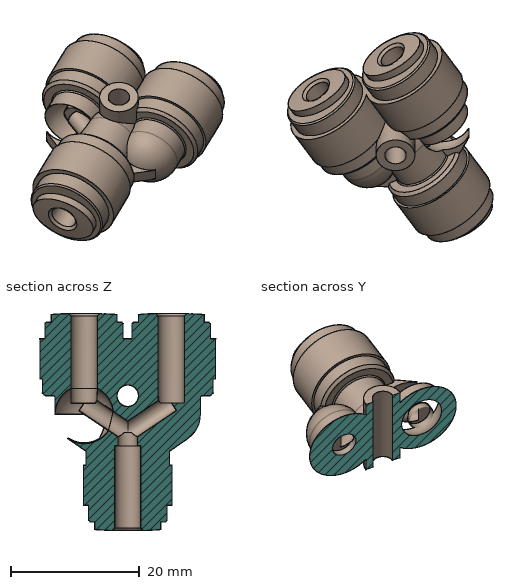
import cadquery as cq
import math

length = 33.7
half_length = length / 2
ring_dia = 13.8
leg_x = (27.3 - ring_dia) / 2
elbow_y = 1.18
tube_r = 4.55
hollow_r = 4.5

button_width = 10.25
button_height = 8.02
crown_height = 0.2
cap_start = 1.35
cap_dia = 12.2
cap_chamfer = 0.25
ring_start = 3.9
neck_start = 10.18
neck_dia = 13.0
neck_end = 12.8
neck_chamfer = 0.47
flare = 0.2

bore_dia = 4.0
bore_mouth_dia = 4.85
stem_floor_y = -3.7
passage_dia = 2.83
throat_overlap = 0.35
throat_dia = 2.95
leg_floor_y = 2.95
stem_turn_y = -1.6
passage_wall = 0.07

post_y = 4.08
post_dia = 6.0
post_hole_dia = 3.3
web_thickness = 2.1


def ball(x, y, radius):
    """Sphere centred in the XY plane, with its poles along Y like the sockets."""
    return cq.Workplane("XZ").sphere(radius).translate((x, y, 0))


def rod(start, end, diameter):
    """Solid cylinder between two points of the XY plane."""
    base = cq.Vector(start[0], start[1], 0)
    run = cq.Vector(end[0], end[1], 0) - base
    return cq.Workplane(cq.Solid.makeCylinder(diameter / 2, run.Length, base, run))


def socket(x, side, rounded=True):
    """Stepped socket body and its tube; side is +1 for a +Y opening, -1 for -Y.

    A rounded tube ends in a half ball, the other kind ends flat.
    """
    tube_end = half_length - side * elbow_y
    cap_r = cap_dia / 2
    neck_r = neck_dia / 2
    profile = [
        (0, cap_start),
        (cap_r - cap_chamfer, cap_start),
        (cap_r, cap_start + cap_chamfer),
        (cap_r, ring_start),
        (ring_dia / 2, ring_start),
        (ring_dia / 2, neck_start),
        (neck_r, neck_start),
        (neck_r, neck_end - neck_chamfer),
        (neck_r - neck_chamfer, neck_end),
        (tube_r + flare, neck_end),
        (tube_r, neck_end + flare),
        (tube_r, tube_end),
    ]
    outline = cq.Workplane("XY").polyline(profile)
    if rounded:
        diagonal = tube_r * math.sqrt(0.5)
        outline = outline.threePointArc((diagonal, tube_end + diagonal), (0, tube_end + tube_r))
    else:
        outline = outline.lineTo(0, tube_end)
    body = outline.close().revolve(360, (0, 0, 0), (0, 1, 0))

    button = (
        cq.Workplane("XZ")
        .ellipse(button_width / 2, button_height / 2)
        .extrude(-(cap_start + cap_chamfer + crown_height))
        .translate((0, -crown_height, 0))
    )
    half_width = button_width / 2
    mouth_r = bore_mouth_dia / 2
    crown_r = (half_width**2 + crown_height**2) / (2 * crown_height)
    crown_center_y = math.sqrt(crown_r**2 - mouth_r**2)
    body = body.union(button.intersect(ball(0, crown_center_y, crown_r)))

    if side > 0:
        body = body.rotate((0, 0, 0), (0, 0, 1), 180)
    return body.translate((x, side * half_length, 0))


def bore(x, side, floor_y):
    """Blind tube bore with a chamfered mouth."""
    end_y = side * half_length
    outside_y = end_y + side * crown_height
    mouth_r = bore_mouth_dia / 2 + crown_height
    cutter = rod((x, outside_y), (x, floor_y), bore_dia)
    mouth = cq.Solid.makeCone(
        mouth_r,
        bore_dia / 2,
        mouth_r - bore_dia / 2,
        cq.Vector(x, outside_y, 0),
        cq.Vector(0, -side, 0),
    )
    return cutter.union(cq.Workplane(mouth))


def passage(side, diameter):
    """Oblique channel from a leg to the stem, mitred on the YZ plane."""
    rise = leg_floor_y - stem_turn_y
    leg_turn = (side * leg_x, leg_floor_y)
    beyond_miter = (-side * leg_x, stem_turn_y - rise)
    half_space = cq.Workplane("XY").box(length, length, length)
    half_space = half_space.translate((side * half_length, 0, 0))
    return rod(beyond_miter, leg_turn, diameter).intersect(half_space)


def web():
    """Flat gusset whose outer edges run from the stem neck tangent to the elbows."""
    corner_x = neck_dia / 2
    corner_y = -half_length + neck_end - neck_chamfer
    dx = corner_x - leg_x
    dy = corner_y - elbow_y
    tangent_angle = math.atan2(dy, dx) + math.acos(tube_r / math.hypot(dx, dy))
    tip_x = leg_x + tube_r * math.cos(tangent_angle)
    tip_y = elbow_y + tube_r * math.sin(tangent_angle)
    outline = [
        (-corner_x, corner_y),
        (corner_x, corner_y),
        (tip_x, tip_y),
        (leg_x, elbow_y),
        (-leg_x, elbow_y),
        (-tip_x, tip_y),
    ]
    return (
        cq.Workplane("XY")
        .polyline(outline)
        .close()
        .extrude(web_thickness / 2, both=True)
    )


result = socket(-leg_x, 1, rounded=False).union(socket(leg_x, 1)).union(socket(0, -1))
result = result.union(web())

post = cq.Workplane("XY").circle(post_dia / 2).extrude(ring_dia / 2, both=True)
result = result.union(post.translate((0, post_y, 0)))

result = result.cut(ball(-leg_x, elbow_y, hollow_r))
bore_end = rod(
    (-leg_x, leg_floor_y - passage_wall),
    (-leg_x, elbow_y + tube_r + passage_wall),
    bore_dia + 2 * passage_wall,
)
result = result.union(bore_end).union(passage(-1, passage_dia + 2 * passage_wall))

post_hole = cq.Workplane("XY").circle(post_hole_dia / 2).extrude(ring_dia, both=True)
result = result.cut(post_hole.translate((0, post_y, 0)))

throat = rod((0, stem_floor_y - throat_overlap), (0, stem_turn_y), throat_dia)
result = result.cut(throat.union(bore(0, -1, stem_floor_y)))
for leg_side in (-1, 1):
    result = result.cut(bore(leg_side * leg_x, 1, leg_floor_y))
    result = result.cut(passage(leg_side, passage_dia))